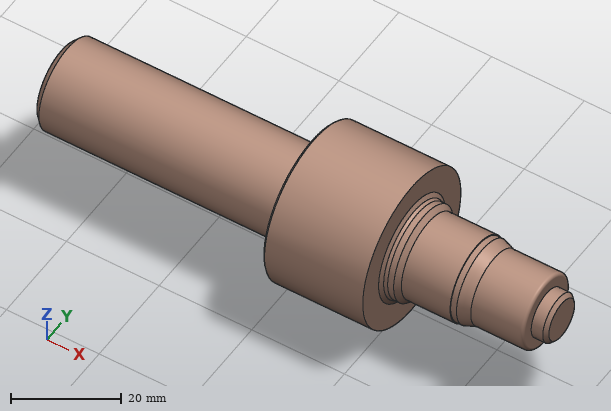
import cadquery as cq

shank_radius = 9.525
flange_radius = 16.385
collar_radius = 9.92
seat_radius = 8.9
taper_start_radius = 8.7
journal_radius = 7.8
pin_radius = 5.1

shank_end_x = 53.975
flange_end_x = 75.6
collar_end_x = 79.1
seat_end_x = 89.6
taper_start_x = 90.85
taper_end_x = 93.35
journal_end_x = 104.65
overall_length = 107.95

shank_chamfer = 1.27
shank_root_cone = 0.4
flange_chamfer = 0.43
collar_root_radius = 11.1
collar_root_break_x = 76.1
collar_root_break_radius = 10.18
collar_root_end_x = 76.8
collar_chamfer = collar_radius - seat_radius
journal_fillet = 0.7
pin_chamfer = 0.8

half_profile = (
    cq.Workplane("XY")
    .lineTo(0, shank_radius - shank_chamfer)
    .lineTo(shank_chamfer, shank_radius)
    .lineTo(shank_end_x - shank_root_cone, shank_radius)
    .lineTo(shank_end_x, shank_radius + shank_root_cone)
    .lineTo(shank_end_x, flange_radius - flange_chamfer)
    .lineTo(shank_end_x + flange_chamfer, flange_radius)
    .lineTo(flange_end_x, flange_radius)
    .lineTo(flange_end_x, collar_root_radius)
    .lineTo(collar_root_break_x, collar_root_break_radius)
    .lineTo(collar_root_end_x, collar_radius)
    .lineTo(collar_end_x - collar_chamfer, collar_radius)
    .lineTo(collar_end_x, seat_radius)
    .lineTo(seat_end_x, seat_radius)
    .lineTo(seat_end_x, taper_start_radius)
    .lineTo(taper_start_x, taper_start_radius)
    .lineTo(taper_end_x, journal_radius)
    .lineTo(journal_end_x - journal_fillet, journal_radius)
    .radiusArc((journal_end_x, journal_radius - journal_fillet), journal_fillet)
    .lineTo(journal_end_x, pin_radius)
    .lineTo(overall_length - pin_chamfer, pin_radius)
    .lineTo(overall_length, pin_radius - pin_chamfer)
    .lineTo(overall_length, 0)
    .close()
)

result = half_profile.revolve(360, (0, 0, 0), (1, 0, 0))